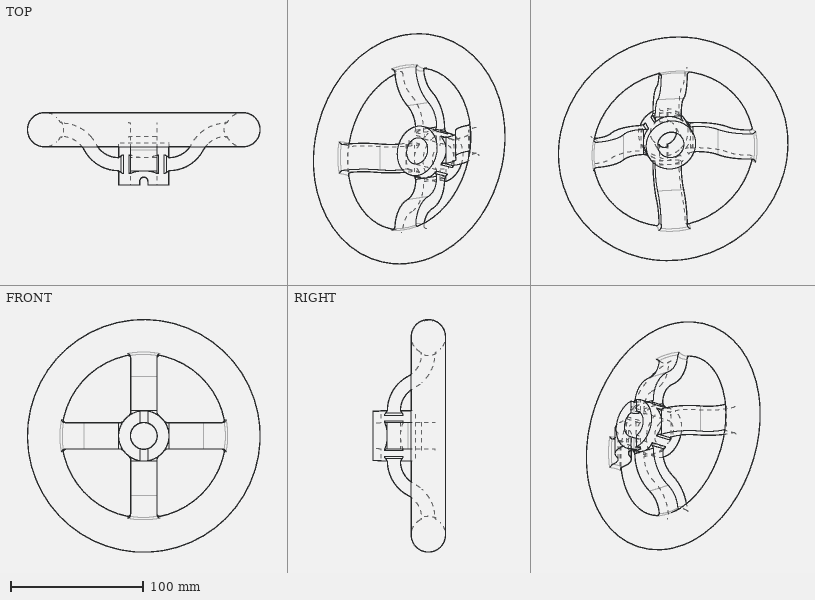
import cadquery as cq
import math

outer_diameter = 176.0
rim_section_diameter = 26.0
rim_section_radius = rim_section_diameter / 2
rim_center_radius = outer_diameter / 2 - rim_section_radius

overall_depth = 55.0
hub_diameter = 38.0
hub_radius = hub_diameter / 2
hub_length = 32.0
bore_diameter = 20.0
hub_front_y = rim_section_radius - overall_depth
hub_wall_middle_radius = (hub_radius + bore_diameter / 2) / 2

slot_width = 6.0
slot_depth = 6.0

spoke_count = 4
spoke_width = 20.0
spoke_thickness = 10.0
spoke_arc_radius = 24.5
spoke_offset = 26.0
rim_joint_fillet = 2.0

face_flare = 2.0
side_flare = 1.0


def make_rim():
    return (
        cq.Workplane("XY")
        .center(rim_center_radius, 0)
        .circle(rim_section_radius)
        .revolve(360, (-rim_center_radius, 0), (-rim_center_radius, 1))
    )


def make_hub():
    return (
        cq.Workplane("XZ", origin=(0, hub_front_y, 0))
        .circle(hub_radius)
        .extrude(-hub_length)
    )


def make_spoke():
    """Spoke along +X, running forward from the rim to the hub in an S curve."""
    sweep_angle = math.acos(1 - spoke_offset / 2 / spoke_arc_radius)
    arc_run = spoke_arc_radius * math.sin(sweep_angle)
    hub_arc_center = (hub_radius, spoke_arc_radius - spoke_offset)
    rim_arc_center = (hub_radius + 2 * arc_run, -spoke_arc_radius)

    def hub_arc_point(radius, angle):
        return (
            hub_arc_center[0] + radius * math.sin(angle),
            hub_arc_center[1] - radius * math.cos(angle),
        )

    def rim_arc_point(radius, angle):
        return (
            rim_arc_center[0] - radius * math.sin(angle),
            rim_arc_center[1] + radius * math.cos(angle),
        )

    half_thickness = spoke_thickness / 2
    large_radius = spoke_arc_radius + half_thickness
    small_radius = spoke_arc_radius - half_thickness
    half_angle = sweep_angle / 2
    return (
        cq.Workplane("XY", origin=(0, 0, -spoke_width / 2))
        .moveTo(hub_wall_middle_radius, -spoke_offset - half_thickness)
        .lineTo(*hub_arc_point(large_radius, 0))
        .threePointArc(hub_arc_point(large_radius, half_angle), hub_arc_point(large_radius, sweep_angle))
        .threePointArc(rim_arc_point(small_radius, half_angle), rim_arc_point(small_radius, 0))
        .lineTo(rim_center_radius, -half_thickness)
        .lineTo(rim_center_radius, half_thickness)
        .lineTo(*rim_arc_point(large_radius, 0))
        .threePointArc(rim_arc_point(large_radius, half_angle), rim_arc_point(large_radius, sweep_angle))
        .threePointArc(hub_arc_point(small_radius, half_angle), hub_arc_point(small_radius, 0))
        .lineTo(hub_wall_middle_radius, -spoke_offset + half_thickness)
        .close()
        .extrude(spoke_width)
    )


def make_spoke_root():
    """Collar along +X that widens the spoke on all four sides where it enters the hub."""
    half_thickness = spoke_thickness / 2
    half_width = spoke_width / 2

    face_end_x = math.sqrt(hub_radius**2 - half_width**2)
    flared_half_thickness = half_thickness + face_flare
    face_profile = (
        cq.Workplane("XY", origin=(0, -spoke_offset, -hub_radius))
        .moveTo(hub_wall_middle_radius, -flared_half_thickness)
        .lineTo(face_end_x, -flared_half_thickness)
        .lineTo(hub_radius, -half_thickness)
        .lineTo(hub_radius, half_thickness)
        .lineTo(face_end_x, flared_half_thickness)
        .lineTo(hub_wall_middle_radius, flared_half_thickness)
        .close()
        .extrude(2 * hub_radius)
    )

    flared_half_width = half_width + side_flare
    side_start_x = face_end_x + side_flare
    side_end_x = math.sqrt(hub_radius**2 - flared_half_width**2)
    side_profile = (
        cq.Workplane("XZ", origin=(0, -spoke_offset + hub_radius, 0))
        .moveTo(hub_wall_middle_radius, -flared_half_width)
        .lineTo(side_end_x, -flared_half_width)
        .lineTo(side_start_x, -half_width)
        .lineTo(hub_radius, -half_width)
        .lineTo(hub_radius, half_width)
        .lineTo(side_start_x, half_width)
        .lineTo(side_end_x, flared_half_width)
        .lineTo(hub_wall_middle_radius, flared_half_width)
        .close()
        .extrude(2 * hub_radius)
    )
    return face_profile.intersect(side_profile)


def make_bore():
    return cq.Workplane("XZ").circle(bore_diameter / 2).extrude(overall_depth, both=True)


def make_slot():
    """Cutter running the full height of the hub, with a half-round floor."""
    half_width = slot_width / 2
    floor_y = hub_front_y + slot_depth
    return (
        cq.Workplane("XY", origin=(0, 0, -hub_radius))
        .moveTo(-half_width, hub_front_y)
        .lineTo(half_width, hub_front_y)
        .lineTo(half_width, floor_y - half_width)
        .threePointArc((0, floor_y), (-half_width, floor_y - half_width))
        .close()
        .extrude(2 * hub_radius)
    )


def rim_joint_edges(body):
    """Edges where the spokes run into the inner side of the rim."""
    search_margin = 3.5
    rim_inner_radius = rim_center_radius - rim_section_radius
    joints = []
    for edge in body.edges().vals():
        bounds = edge.BoundingBox()
        center = edge.Center()
        near_rim = abs(math.hypot(center.x, center.z) - rim_inner_radius) < search_margin
        near_middle = max(abs(bounds.ymin), abs(bounds.ymax)) < spoke_thickness
        if near_rim and near_middle:
            joints.append(edge)
    return joints


def repeat_around_axis(body):
    """Copies of a body that lies along +X, evenly spaced around the Y axis."""
    copies = []
    for index in range(spoke_count):
        copies.append(body.rotate((0, 0, 0), (0, 1, 0), index * 360 / spoke_count))
    return copies


wheel = make_rim().rotate((0, 0, 0), (0, 1, 0), 180 / spoke_count)
for spoke in repeat_around_axis(make_spoke()):
    wheel = wheel.union(spoke)
wheel = wheel.newObject(rim_joint_edges(wheel)).fillet(rim_joint_fillet)
wheel = wheel.union(make_hub())
for spoke_root in repeat_around_axis(make_spoke_root()):
    wheel = wheel.union(spoke_root)

result = wheel.cut(make_bore()).cut(make_slot())